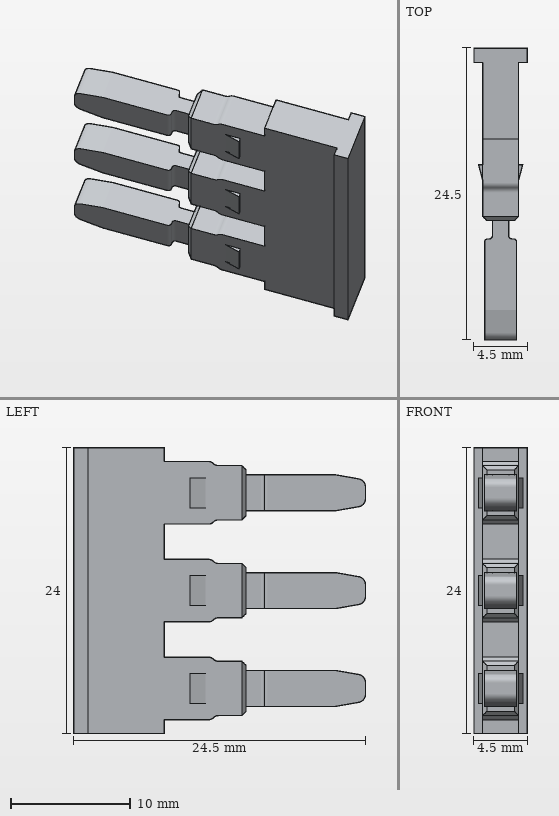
import cadquery as cq
import math

length = 24.5
height = 24.0
pitch = 8.2
tooth_count = 3

cap_width = 4.5
cap_thickness = 1.22
web_width = 3.05
body_depth = 7.62
web_front = length - body_depth

tooth_length = 6.85
tooth_front = web_front - tooth_length
tooth_base_height = 5.27
tooth_tip_height = 4.58
step_distance = 3.7
step_back = web_front - step_distance
step_run = 0.8
tooth_chamfer = 0.37

latch_distance = 2.15
latch_back = web_front - latch_distance
latch_length = 1.3
latch_height = 2.52
latch_projection = 0.35

blade_width = 2.7
blade_height = 3.05
neck_width = 1.37
neck_length = 1.52
shoulder_y = tooth_front - neck_length
shoulder_radius = 0.27
taper_length = 2.52
taper_angle = 10.0
tip_radius = 0.7


def box_between(width, y_front, y_back, box_height):
    """Box centred on X and Z, spanning the given Y range."""
    return cq.Workplane("XY").box(width, y_back - y_front, box_height).translate(
        (0, (y_front + y_back) / 2, 0)
    )


def make_body():
    cap = box_between(cap_width, length - cap_thickness, length, height)
    web = box_between(web_width, web_front, length, height)
    return cap.union(web)


def make_tooth():
    base_half = tooth_base_height / 2
    tip_half = tooth_tip_height / 2
    step_middle = step_back - step_run / 2
    step_front = step_back - step_run
    middle_half = (base_half + tip_half) / 2
    upper_half = (
        cq.Workplane("YZ")
        .moveTo(web_front, 0)
        .lineTo(web_front, base_half)
        .lineTo(step_back, base_half)
        .tangentArcPoint((step_middle, middle_half), relative=False)
        .tangentArcPoint((step_front, tip_half), relative=False)
        .lineTo(tooth_front, tip_half)
        .lineTo(tooth_front, 0)
        .close()
        .extrude(web_width / 2, both=True)
    )
    tooth = upper_half.union(upper_half.mirror("XY")).clean()
    return tooth.faces("<Y").chamfer(tooth_chamfer)


def make_latch():
    """Wedge on the +X side, highest at its back edge."""
    side = web_width / 2
    return (
        cq.Workplane("XY")
        .moveTo(0, latch_back)
        .lineTo(side + latch_projection, latch_back)
        .lineTo(side, latch_back - latch_length)
        .lineTo(0, latch_back - latch_length)
        .close()
        .extrude(latch_height / 2, both=True)
    )


def make_blade():
    neck = box_between(neck_width, shoulder_y, tooth_front, blade_height)
    blade = box_between(blade_width, 0, shoulder_y, blade_height)
    shoulder_zone = cq.selectors.BoxSelector(
        (-blade_width, shoulder_y - shoulder_radius, -blade_height),
        (blade_width, shoulder_y + shoulder_radius, blade_height),
    )
    waisted = neck.union(blade).edges("|Z").edges(shoulder_zone).fillet(shoulder_radius)

    half = blade_height / 2
    tip_half = half - taper_length * math.tan(math.radians(taper_angle))
    side_outline = (
        cq.Workplane("YZ")
        .polyline([
            (tooth_front, half),
            (taper_length, half),
            (0, tip_half),
            (0, -tip_half),
            (taper_length, -half),
            (tooth_front, -half),
        ])
        .close()
        .extrude(blade_width, both=True)
        .faces("<Y")
        .edges("|X")
        .fillet(tip_radius)
    )
    return waisted.intersect(side_outline)


latch = make_latch()
finger = make_tooth().union(latch).union(latch.mirror("YZ")).union(make_blade())

result = make_body()
for index in range(tooth_count):
    finger_z = (index - (tooth_count - 1) / 2) * pitch
    result = result.union(finger.translate((0, 0, finger_z)))